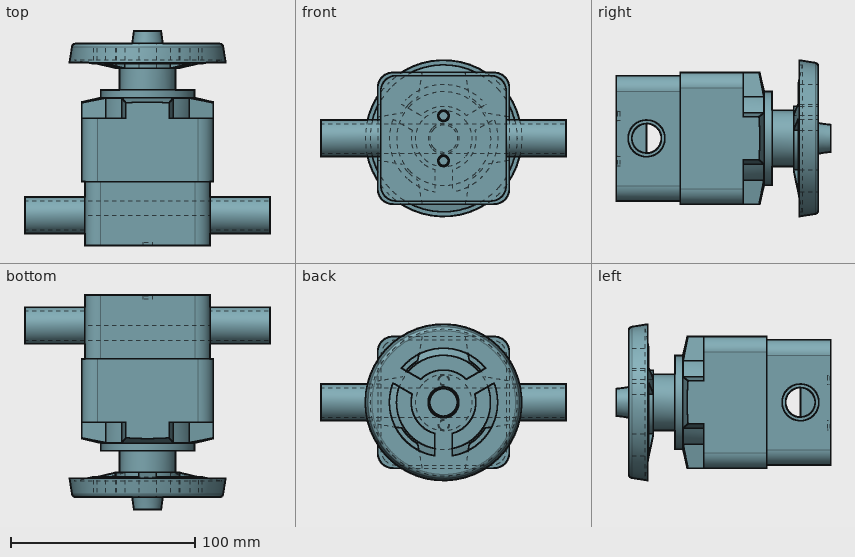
import cadquery as cq

base_top = 34.7
shoulder = 69.0
bonnet_edge = 78.0
bonnet_top = 80.3
collar_top = 84.6
neck_top = 96.3
rim_bottom = 99.4
wheel_top = 109.7
overall_height = 116.5

base_side = 68.1
bonnet_side = 71.5
corner_radius = 8.4

tube_length = 133.0
tube_radius = 10.0
bore_radius = 8.0
tube_level = 16.5
weir_thickness = base_side

hole_spacing = 24.5
hole_radius = 2.5
hole_mouth_radius = 3.0
hole_depth = 2.0

drum_radius = 26.6
arm_root = (22.6, 14.0)
arm_tip_half_width = 11.7
collar_radius = 25.5
neck_radius = 15.3

rim_diameter = 85.0
rim_radius = rim_diameter / 2
rim_top_radius = 40.8
rim_fillet = 2.1
lip_radius = 39.9
boss_radius = 17.5
cone_radius = 32.5
window_outer_radius = 29.4
spoke_width = 9.3
spoke_angles = (30, 150, 270)
knob_base_radius = 8.4
knob_top_radius = 7.5


def along_y(level):
    """Sketch plane facing +Y at a given level, with local x = X and local y = -Z."""
    return cq.Workplane(cq.Plane(origin=(0, level, 0), xDir=(1, 0, 0), normal=(0, 1, 0)))


def cylinder(radius, bottom, top):
    return along_y(bottom).circle(radius).extrude(top - bottom)


def rounded_block(side, bottom, top):
    block = along_y(bottom).rect(side, side).extrude(top - bottom)
    return block.edges("|Y").fillet(corner_radius)


def revolved(points):
    """Solid of revolution about the stem from (radius, level) points."""
    return cq.Workplane("XY").polyline(points).close().revolve(360, (0, 0, 0), (0, 1, 0))


def make_bonnet_cross():
    half_side = bonnet_side / 2
    root_distance, root_half_width = arm_root
    height = bonnet_top - shoulder
    cross = cylinder(drum_radius, shoulder, bonnet_top)
    arm_outline = [
        (0, -root_half_width),
        (root_distance, -root_half_width),
        (half_side, -arm_tip_half_width),
        (half_side, arm_tip_half_width),
        (root_distance, root_half_width),
        (0, root_half_width),
    ]
    arm = along_y(shoulder).polyline(arm_outline).close().extrude(height)
    for angle in (0, 90, 180, 270):
        cross = cross.union(arm.rotate((0, 0, 0), (0, 1, 0), angle))
    slope = (bonnet_top - bonnet_edge) / (half_side - collar_radius)
    reach = bonnet_side
    envelope = revolved([
        (0, shoulder),
        (reach, shoulder),
        (reach, bonnet_top - slope * (reach - collar_radius)),
        (collar_radius, bonnet_top),
        (0, bonnet_top),
    ])
    return cross.intersect(envelope)


def make_handwheel():
    cone_slope = (rim_bottom - neck_top) / (cone_radius - boss_radius)
    lip_inner_level = neck_top + cone_slope * (lip_radius - boss_radius)
    wheel = revolved([
        (0, neck_top),
        (boss_radius, neck_top),
        (lip_radius, lip_inner_level),
        (lip_radius, rim_bottom),
        (rim_radius, rim_bottom),
        (rim_top_radius, wheel_top),
        (0, wheel_top),
    ])
    wheel = wheel.edges(">Y").fillet(rim_fillet)
    thickness = wheel_top - neck_top
    windows = along_y(neck_top).circle(window_outer_radius).circle(boss_radius).extrude(thickness)
    spoke = along_y(neck_top).center(rim_radius / 2, 0).rect(rim_radius, spoke_width).extrude(thickness)
    for angle in spoke_angles:
        windows = windows.cut(spoke.rotate((0, 0, 0), (0, 1, 0), -angle))
    knob = revolved([
        (0, wheel_top),
        (knob_base_radius, wheel_top),
        (knob_top_radius, overall_height),
        (0, overall_height),
    ])
    return wheel.cut(windows).union(knob)


def make_bore():
    """Tube bore, blocked below its axis by a weir inside the base."""
    bore = cq.Workplane("YZ", origin=(-tube_length / 2, tube_level, 0)).circle(bore_radius).extrude(tube_length)
    weir = cq.Workplane("XY").box(weir_thickness, bore_radius, 2 * bore_radius)
    return bore.cut(weir.translate((0, tube_level - bore_radius / 2, 0)))


def make_mounting_hole(z):
    chamfer = hole_mouth_radius - hole_radius
    profile = [
        (0, 0),
        (hole_mouth_radius, 0),
        (hole_radius, chamfer),
        (hole_radius, hole_depth),
        (0, hole_depth),
    ]
    return revolved(profile).translate((0, 0, z))


tube = cq.Workplane("YZ", origin=(-tube_length / 2, tube_level, 0)).circle(tube_radius).extrude(tube_length)

result = (
    rounded_block(base_side, 0, base_top)
    .union(rounded_block(bonnet_side, base_top, shoulder))
    .union(make_bonnet_cross())
    .union(cylinder(collar_radius, bonnet_top, collar_top))
    .union(cylinder(neck_radius, collar_top, neck_top))
    .union(make_handwheel())
    .union(tube)
    .cut(make_bore())
)
for side in (-1, 1):
    result = result.cut(make_mounting_hole(side * hole_spacing / 2))